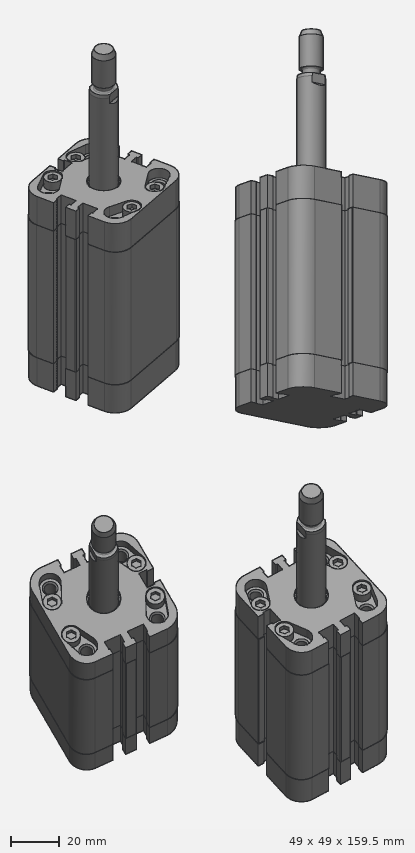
import cadquery as cq
import math

cap_length = 14.1
body_length = 94.0
total_length = 159.5
barrel_length = body_length - 2 * cap_length
front_cap_z = body_length - cap_length

barrel_width = 49.0
cap_width = 48.8
flat_side_width = 33.3
barrel_corner_radius = (barrel_width - flat_side_width) / 2
cap_corner_radius = 8.16

twin_channel_offset = 5.3
twin_mouth_offset = 5.5
slot_channel_width = 7.3
slot_floor = 18.0
slot_lip_depth = 2.9
slot_mouth_width = 5.9
barrel_edge_chamfer = 0.35

rod_diameter = 12.0
thread_diameter = 10.0
thread_tip_diameter = 7.9
neck_diameter = 7.5
neck_fillet = 0.535
thread_chamfer_length = 2.5
thread_length = 16.1
neck_length = 2.9
shoulder_diameter = 11.5
shoulder_taper_length = 1.5
wrench_flat_width = 10.0
wrench_flat_length = 4.2
wrench_flat_runout = 1.0

wiper_diameter = 14.0
wiper_inner_diameter = 13.7
wiper_depth = 1.5
clearance_diameter = 12.54
clearance_depth = 3.0
wiper_chamfer = (wiper_diameter - wiper_inner_diameter) / 2

mount_hole_offset = 16.25
mount_hole_diameter = 4.92
mount_hole_chamfer_diameter = 6.4
mount_pocket_diameter = 9.0
screw_x = 19.35
screw_y = 8.5
screw_pocket_diameter = 7.9
screw_head_diameter = 7.5
pocket_depth = 4.7
screw_head_height = 4.1
socket_width = 3.8
socket_depth = 2.0


def slot_cutter(mouth_width, width, length, outward_shift=0):
    """Slot opening towards +X, its channel centred on the X axis and its mouth shifted along Y."""
    side = width / 2
    channel_depth = barrel_width / 2 - slot_lip_depth - slot_floor
    channel = cq.Workplane("XY").box(channel_depth, slot_channel_width, length, centered=(False, True, False))
    mouth = cq.Workplane("XY").box(side - slot_floor, mouth_width, length, centered=(False, True, False))
    return channel.union(mouth.translate((0, outward_shift, 0))).translate((slot_floor, 0, 0))


def rounded_square(width, corner_radius, length):
    """Square block whose corner arcs run between the ends of the flat sides."""
    side = width / 2
    arc_start = flat_side_width / 2
    half_chord = (side - arc_start) / math.sqrt(2)
    bulge = corner_radius - math.sqrt(corner_radius**2 - half_chord**2)
    arc_middle = (side + arc_start) / 2 + bulge / math.sqrt(2)
    outline = cq.Workplane("XY").moveTo(side, -arc_start)
    for turn in range(4):
        cosine = round(math.cos(turn * math.pi / 2))
        sine = round(math.sin(turn * math.pi / 2))
        side_end, middle, next_side = (
            (x * cosine - y * sine, x * sine + y * cosine)
            for x, y in ((side, arc_start), (arc_middle, arc_middle), (arc_start, side))
        )
        outline = outline.lineTo(*side_end).threePointArc(middle, next_side)
    return outline.close().extrude(length)


def slotted_block(width, corner_radius, single_slot_mouth, length):
    """Rounded square block with twin slots on both Y sides and one slot on the -X side."""
    block = rounded_square(width, corner_radius, length)
    block = block.cut(slot_cutter(single_slot_mouth, width, length).rotate((0, 0, 0), (0, 0, 1), 180))
    twin_slot = slot_cutter(slot_mouth_width, width, length, twin_mouth_offset - twin_channel_offset)
    left_slot = twin_slot.rotate((0, 0, 0), (0, 0, 1), 90).translate((-twin_channel_offset, 0, 0))
    right_slot = left_slot.mirror("YZ")
    for slot in (left_slot, right_slot):
        block = block.cut(slot).cut(slot.mirror("XZ"))
    return block


def screw_pocket():
    """Tapered pocket around both circle centres, hanging below Z = 0, for the +X +Y corner."""
    big_radius = mount_pocket_diameter / 2
    small_radius = screw_pocket_diameter / 2
    dx = screw_x - mount_hole_offset
    dy = screw_y - mount_hole_offset
    direction = math.atan2(dy, dx)
    spread = math.acos((big_radius - small_radius) / math.hypot(dx, dy))

    def big_point(angle):
        x = mount_hole_offset + big_radius * math.cos(angle)
        y = mount_hole_offset + big_radius * math.sin(angle)
        return (x, y)

    def small_point(angle):
        x = screw_x + small_radius * math.cos(angle)
        y = screw_y + small_radius * math.sin(angle)
        return (x, y)

    outline = (
        cq.Workplane("XY")
        .moveTo(*big_point(direction + spread))
        .threePointArc(big_point(direction + math.pi), big_point(direction - spread))
        .lineTo(*small_point(direction - spread))
        .threePointArc(small_point(direction), small_point(direction + spread))
        .close()
    )
    return outline.extrude(-pocket_depth)


def mount_hole():
    """Chamfered hole through the cap below the pocket floor."""
    radius = mount_hole_diameter / 2
    chamfer_radius = mount_hole_chamfer_diameter / 2
    profile = (
        cq.Workplane("XZ")
        .moveTo(0, -cap_length)
        .lineTo(radius, -cap_length)
        .lineTo(radius, -pocket_depth - (chamfer_radius - radius))
        .lineTo(chamfer_radius, -pocket_depth)
        .lineTo(0, -pocket_depth)
        .close()
    )
    hole = profile.revolve(360, (0, 0, 0), (0, 1, 0))
    return hole.translate((mount_hole_offset, mount_hole_offset, 0))


def screw_head():
    """Socket screw head standing on the pocket floor."""
    head = cq.Workplane("XY", origin=(screw_x, screw_y, -pocket_depth)).circle(screw_head_diameter / 2)
    head = head.extrude(screw_head_height)
    socket_diameter = socket_width / math.cos(math.pi / 6)
    return head.faces(">Z").workplane().polygon(6, socket_diameter).cutBlind(-socket_depth)


def at_four_corners(shape):
    """Copies of a +X +Y corner feature at all four corners of the front face."""
    placed = shape.translate((0, 0, body_length))
    pair = [placed, placed.mirror("YZ")]
    return pair + [copy.mirror("XZ") for copy in pair]


def make_rear_cap():
    return slotted_block(cap_width, cap_corner_radius, slot_mouth_width, cap_length)


def make_barrel():
    """Slotted profile with chamfered edges at the single slot and on the ribs between the twin slots."""
    side = barrel_width / 2
    narrow_mouth = slot_mouth_width - 2 * barrel_edge_chamfer
    block = slotted_block(barrel_width, barrel_corner_radius, narrow_mouth, barrel_length)
    rib_half_width = twin_mouth_offset - slot_mouth_width / 2
    mid_height = barrel_length / 2
    edge_points = [(-side, y) for y in (-narrow_mouth / 2, narrow_mouth / 2)]
    edge_points += [(x, y) for x in (-rib_half_width, rib_half_width) for y in (-side, side)]
    for x, y in edge_points:
        edge = cq.selectors.NearestToPointSelector((x, y, mid_height))
        block = block.edges(edge).chamfer(barrel_edge_chamfer)
    return block.translate((0, 0, cap_length))


def make_front_cap():
    """Slotted cap with the rod bore, its stepped mouth and the four screw pockets with their heads."""
    cap = slotted_block(cap_width, cap_corner_radius, slot_mouth_width, cap_length)
    cap = cap.translate((0, 0, front_cap_z))
    cap = cap.faces(">Z").workplane(origin=(0, 0, 0)).circle(rod_diameter / 2).cutThruAll()
    front_face = cq.Workplane("XY", origin=(0, 0, body_length))
    wiper_seat = front_face.circle(wiper_inner_diameter / 2).extrude(-wiper_depth)
    clearance = front_face.circle(clearance_diameter / 2).extrude(-clearance_depth)
    wiper_lead_in = (
        front_face.circle(wiper_diameter / 2)
        .workplane(offset=-wiper_chamfer)
        .circle(wiper_inner_diameter / 2)
        .loft()
    )
    cap = cap.cut(clearance).cut(wiper_seat).cut(wiper_lead_in)
    for pocket in at_four_corners(screw_pocket().union(mount_hole())):
        cap = cap.cut(pocket)
    for head in at_four_corners(screw_head()):
        cap = cap.union(head)
    return cap


def make_piston_rod():
    """Rod seated on the barrel, with wrench flats, a filleted neck and a threaded end."""
    thread_end_z = total_length - thread_length
    shoulder_z = thread_end_z - neck_length
    rod_radius = rod_diameter / 2
    thread_radius = thread_diameter / 2
    neck_radius = neck_diameter / 2
    rod = (
        cq.Workplane("XZ")
        .moveTo(0, front_cap_z)
        .lineTo(rod_radius, front_cap_z)
        .lineTo(rod_radius, shoulder_z - shoulder_taper_length)
        .lineTo(shoulder_diameter / 2, shoulder_z)
        .lineTo(neck_radius + neck_fillet, shoulder_z)
        .radiusArc((neck_radius, shoulder_z + neck_fillet), neck_fillet)
        .lineTo(neck_radius, thread_end_z - neck_fillet)
        .radiusArc((neck_radius + neck_fillet, thread_end_z), neck_fillet)
        .lineTo(thread_radius, thread_end_z)
        .lineTo(thread_radius, total_length - thread_chamfer_length)
        .lineTo(thread_tip_diameter / 2, total_length)
        .lineTo(0, total_length)
        .close()
        .revolve(360, (0, 0, 0), (0, 1, 0))
    )
    flat_x = wrench_flat_width / 2
    flat_z = shoulder_z - wrench_flat_length
    flat = (
        cq.Workplane("XZ")
        .moveTo(flat_x, shoulder_z)
        .lineTo(flat_x, flat_z)
        .lineTo(rod_radius, flat_z - wrench_flat_runout)
        .lineTo(rod_radius, shoulder_z)
        .close()
        .extrude(rod_radius, both=True)
    )
    return rod.cut(flat).cut(flat.mirror("YZ"))


rear_cap = make_rear_cap()
barrel = make_barrel()
front_cap = make_front_cap()
piston_rod = make_piston_rod()

result = cq.Compound.makeCompound([rear_cap.val(), barrel.val(), front_cap.val(), piston_rod.val()])